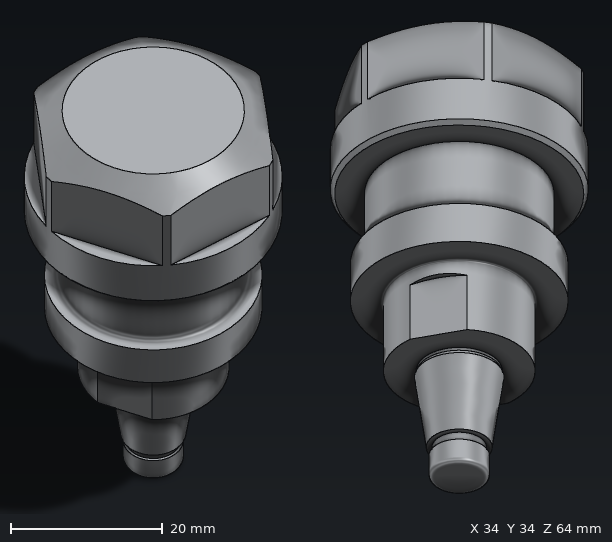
import cadquery as cq
import math

overall_height = 64.0
tip_top_z = 3.65
taper_bottom_z = 5.0
taper_top_z = 16.05
body_bottom_z = 17.0
flange_bottom_z = 28.0
flange_top_z = 34.0
nut_bottom_z = overall_height - 19.0
hex_bottom_z = overall_height - 12.0

tip_radius = 8.0 / 2
groove_radius = 7.2 / 2
taper_top_radius = 11.8 / 2
undercut_radius = 11.4 / 2
body_radius = 20.0 / 2
flange_radius = 28.7 / 2
neck_radius = 25.0 / 2
nut_radius = 34.0 / 2
taper_half_angle = 8.0
taper_bottom_radius = taper_top_radius - (taper_top_z - taper_bottom_z) * math.tan(
    math.radians(taper_half_angle)
)

tip_fillet = 0.8
body_fillet = 0.4
neck_fillet = 1.0
undercut_chamfer_height = 0.5
nut_chamfer = 0.6

hex_across_flats = 30.0
hex_sides = 6
hex_across_corners = hex_across_flats / math.cos(math.pi / hex_sides)
top_face_radius = 24.0 / 2
top_chamfer_angle = 30.0

full_turn = 360

flats_across = 18.4
flats_top_z = 25.95
flats_end_radius = 20.0


def arc_midpoint(center_r, center_z, radius, r_sign, z_sign):
    """Midpoint of a quarter arc, on the chosen diagonal from its center."""
    offset = radius * math.sqrt(0.5)
    return center_r + r_sign * offset, center_z + z_sign * offset


def revolve_profile(profile):
    """Full turn about Z of a closed profile sketched in radius and height."""
    return profile.close().revolve(full_turn, (0, 0, 0), (0, 1, 0))


def make_shank():
    """Rounded tip, groove, taper and the chamfered undercut above it."""
    return revolve_profile(
        cq.Workplane("XZ")
        .lineTo(tip_radius - tip_fillet, 0)
        .threePointArc(
            arc_midpoint(tip_radius - tip_fillet, tip_fillet, tip_fillet, 1, -1),
            (tip_radius, tip_fillet),
        )
        .lineTo(tip_radius, tip_top_z)
        .lineTo(groove_radius, tip_top_z)
        .lineTo(groove_radius, taper_bottom_z)
        .lineTo(taper_bottom_radius, taper_bottom_z)
        .lineTo(taper_top_radius, taper_top_z)
        .lineTo(undercut_radius, taper_top_z + undercut_chamfer_height)
        .lineTo(undercut_radius, body_bottom_z)
        .lineTo(0, body_bottom_z)
    )


def make_body():
    """Body, flange and neck, with concave fillets against both flange faces."""
    body_arc_r = body_radius + body_fillet
    body_arc_z = flange_bottom_z - body_fillet
    neck_arc_r = neck_radius + neck_fillet
    neck_arc_z = flange_top_z + neck_fillet
    return revolve_profile(
        cq.Workplane("XZ")
        .moveTo(0, body_bottom_z)
        .lineTo(body_radius, body_bottom_z)
        .lineTo(body_radius, body_arc_z)
        .threePointArc(
            arc_midpoint(body_arc_r, body_arc_z, body_fillet, -1, 1),
            (body_arc_r, flange_bottom_z),
        )
        .lineTo(flange_radius, flange_bottom_z)
        .lineTo(flange_radius, flange_top_z)
        .lineTo(neck_arc_r, flange_top_z)
        .threePointArc(
            arc_midpoint(neck_arc_r, neck_arc_z, neck_fillet, -1, -1),
            (neck_radius, neck_arc_z),
        )
        .lineTo(neck_radius, nut_bottom_z)
        .lineTo(0, nut_bottom_z)
    )


def cut_spanner_flats(body):
    """Two opposite flats open at the bottom, each ending in a shallow arc."""
    cutter = (
        cq.Workplane("XZ", origin=(0, 0, flats_top_z - flats_end_radius))
        .circle(flats_end_radius)
        .extrude(body_radius, both=True)
    )
    kept_core = cq.Workplane("XY").box(2 * flats_end_radius, flats_across, 2 * flats_top_z)
    return body.cut(cutter.cut(kept_core))


def make_nut():
    """Round collar carrying a hexagon with trimmed corners and a conical top."""
    collar = (
        cq.Workplane("XY", origin=(0, 0, nut_bottom_z))
        .circle(nut_radius)
        .extrude(hex_bottom_z - nut_bottom_z)
        .faces("<Z")
        .chamfer(nut_chamfer)
    )
    hexagon = (
        cq.Workplane("XY", origin=(0, 0, hex_bottom_z))
        .polygon(hex_sides, hex_across_corners)
        .extrude(overall_height - hex_bottom_z)
    )
    cone_drop = (nut_radius - top_face_radius) * math.tan(math.radians(top_chamfer_angle))
    turned_blank = revolve_profile(
        cq.Workplane("XZ")
        .moveTo(0, hex_bottom_z)
        .lineTo(nut_radius, hex_bottom_z)
        .lineTo(nut_radius, overall_height - cone_drop)
        .lineTo(top_face_radius, overall_height)
        .lineTo(0, overall_height)
    )
    return collar.union(hexagon.intersect(turned_blank))


result = make_shank().union(cut_spanner_flats(make_body())).union(make_nut())